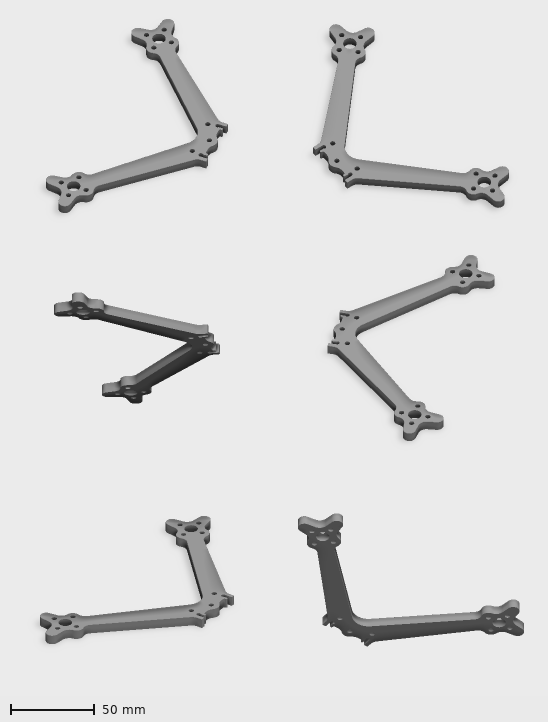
import cadquery as cq
import math

thickness = 6.0
total_width = 167.4
top_chamfer = 0.2
screw_dia = 3.2

motor_x = -60.1
lobe_reach = 17.5
motor_y = total_width / 2 - lobe_reach
lobe_tip_radius = 3.8
lobe_taper = math.radians(7)
screw_circle_radius = 8.0
boss_radius = 4.5
bore_dia = 8.0
lobe_fillet = 5.0
arm_fillet = 5.0

arm_angle = math.radians(-45)
arm_half_width = 4.7
arm_taper = math.radians(1.9)
inner_fillet = 10.0

nose_radius = 5.0
nose_fillet = 6.0
hub_face_x = 2.0
hub_screw_x = -6.0
hub_screw_y = 12.0
prong_end_x = nose_radius
prong_outer_y = 16.9
prong_thickness = 2.5
prong_fillet = 5.0
slot_width = 2.2
slot_end_x = -0.2
slot_end_radius = 1.3
tooth_end_x = 3.8
tooth_thickness = 1.5
tooth_tip_radius = 0.7
tooth_root_fillet = 1.0

slot_outer_y = prong_outer_y - prong_thickness
slot_inner_y = slot_outer_y - slot_width
tooth_inner_y = slot_inner_y - tooth_thickness


def disc(x, y, radius):
    return cq.Workplane("XY").center(x, y).circle(radius).extrude(thickness)


def fillet_at(body, x, y, radius):
    """Round the upright edge nearest to (x, y)."""
    nearest = cq.selectors.NearestToPointSelector((x, y, thickness / 2))
    return body.edges("|Z").edges(nearest).fillet(radius)


def arm_edge_start(side):
    """Point of an arm edge level with the motor; side is +1 outer, -1 inner."""
    normal = arm_angle + side * math.pi / 2
    return (
        motor_x + arm_half_width * math.cos(normal),
        motor_y + arm_half_width * math.sin(normal),
    )


def arm_edge_at_y(side, y):
    """Point where an arm edge reaches the given Y."""
    start_x, start_y = arm_edge_start(side)
    slope = math.tan(arm_angle + side * arm_taper)
    return (start_x + (y - start_y) / slope, y)


def arm_and_half_hub():
    outline = [
        arm_edge_at_y(-1, 0),
        arm_edge_start(-1),
        arm_edge_start(1),
        arm_edge_at_y(1, prong_outer_y),
        (prong_end_x, prong_outer_y),
        (prong_end_x, slot_outer_y),
        (slot_end_x, slot_outer_y),
        (slot_end_x, slot_inner_y),
        (tooth_end_x, slot_inner_y),
        (tooth_end_x, tooth_inner_y),
        (hub_face_x, tooth_inner_y),
        (hub_face_x, 0),
    ]
    body = cq.Workplane("XY").polyline(outline).close().extrude(thickness)
    body = fillet_at(body, *outline[3], prong_fillet)
    body = fillet_at(body, tooth_end_x, slot_inner_y, tooth_tip_radius)
    body = fillet_at(body, tooth_end_x, tooth_inner_y, tooth_tip_radius)
    body = fillet_at(body, hub_face_x, tooth_inner_y, tooth_root_fillet)
    slot_end_y = slot_outer_y - slot_end_radius
    return body.cut(disc(slot_end_x, slot_end_y, slot_end_radius))


def lobe(turn):
    """Tapered, round-ended lobe pointing along +Y, turned about the motor centre."""
    tip_centre = lobe_reach - lobe_tip_radius
    tangent_x = lobe_tip_radius * math.cos(lobe_taper)
    tangent_y = tip_centre + lobe_tip_radius * math.sin(lobe_taper)
    base_half_width = tangent_x + tangent_y * math.tan(lobe_taper)
    return (
        cq.Workplane("XY")
        .moveTo(-base_half_width, 0)
        .lineTo(-tangent_x, tangent_y)
        .threePointArc((0, lobe_reach), (tangent_x, tangent_y))
        .lineTo(base_half_width, 0)
        .close()
        .extrude(thickness)
        .rotate((0, 0, 0), (0, 0, 1), turn)
        .translate((motor_x, motor_y, 0))
    )


def add_motor_mount(body):
    body = body.union(lobe(0)).union(lobe(90))
    body = body.union(disc(motor_x + screw_circle_radius, motor_y, boss_radius))
    body = body.union(disc(motor_x, motor_y - screw_circle_radius, boss_radius))

    near = boss_radius
    far = screw_circle_radius + boss_radius
    for dx, dy in [(-near, near), (near, near), (-near, -near)]:
        body = fillet_at(body, motor_x + dx, motor_y + dy, lobe_fillet)
    for dx, dy in [(far, -near), (near, -far)]:
        body = fillet_at(body, motor_x + dx, motor_y + dy, arm_fillet)

    body = body.cut(disc(motor_x, motor_y, bore_dia / 2))
    for quarter in range(4):
        angle = quarter * math.pi / 2
        x = motor_x + screw_circle_radius * math.cos(angle)
        y = motor_y + screw_circle_radius * math.sin(angle)
        body = body.cut(disc(x, y, screw_dia / 2))
    return body


def chamfer_top(body):
    """Break the top edge along the smooth outline, from one prong corner to the other."""
    mid_arm_x, mid_arm_y = arm_edge_at_y(-1, motor_y / 2)
    arm_edge = cq.selectors.NearestToPointSelector((mid_arm_x, mid_arm_y, thickness))
    return body.faces(">Z").edges(arm_edge).chamfer(top_chamfer)


def finish_hub(body):
    body = fillet_at(body, *arm_edge_at_y(-1, 0), inner_fillet)
    body = chamfer_top(body)
    body = body.union(disc(0, 0, nose_radius), clean=True)
    nose_corner_y = math.sqrt(nose_radius**2 - hub_face_x**2)
    for side in (1, -1):
        body = fillet_at(body, hub_face_x, side * nose_corner_y, nose_fillet)
    for x, y in [(0, 0), (hub_screw_x, hub_screw_y), (hub_screw_x, -hub_screw_y)]:
        body = body.cut(disc(x, y, screw_dia / 2))
    return body


half = add_motor_mount(arm_and_half_hub())
result = finish_hub(half.union(half.mirror("XZ"), clean=True))